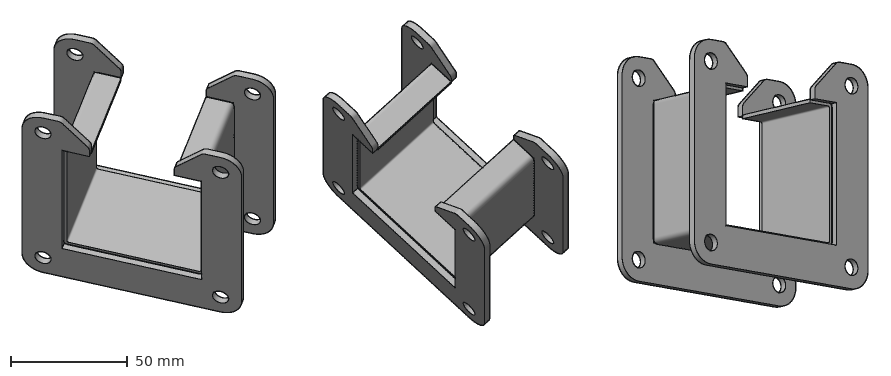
import cadquery as cq

FRAME_SIZE = 98.4
LENGTH = 50.6
SLOT_WIDTH = 38.0

FLANGE_THICKNESS = 3.15
FLANGE_CORNER_RADIUS = 9.4
WINDOW_SIZE = 62.5
BEVEL_DROP = 12.9
BEVEL_CORNER_RADIUS = 3.0
HOLE_DIAMETER = 7.2
HOLE_SPACING = 79.5
SELECTION_MARGIN = 1.0

CHANNEL_SIZE = 63.3
WALL = 1.7
CHANNEL_CORNER_RADIUS = 2.5
CHANNEL_LENGTH = LENGTH - 2 * FLANGE_THICKNESS


def square_bar(size, length):
    """Square bar centred on the origin, running along Y."""
    return cq.Workplane("XY").box(size, length, size)


def slot_cutter(length):
    """Block that opens the upper half of the section to the width of the slot."""
    return cq.Workplane("XY").box(SLOT_WIDTH, length, FRAME_SIZE / 2, centered=(True, True, False))


def bevel_cutter():
    """Wedge-shaped mouth that widens the slot at 45 degrees towards the top edge."""
    top = FRAME_SIZE / 2
    half_slot = SLOT_WIDTH / 2
    half_mouth = half_slot + BEVEL_DROP
    return (
        cq.Workplane("XZ", origin=(0, FLANGE_THICKNESS / 2, 0))
        .polyline([
            (-half_mouth, top),
            (-half_slot, top - BEVEL_DROP),
            (half_slot, top - BEVEL_DROP),
            (half_mouth, top),
        ])
        .close()
        .extrude(FLANGE_THICKNESS)
    )


def bolt_holes():
    """Four through-hole cutters on a square pattern."""
    return (
        cq.Workplane("XZ", origin=(0, FLANGE_THICKNESS / 2, 0))
        .rect(HOLE_SPACING, HOLE_SPACING, forConstruction=True)
        .vertices()
        .circle(HOLE_DIAMETER / 2)
        .extrude(FLANGE_THICKNESS)
    )


def make_flange(y_center):
    """Slotted square flange, centred at the given Y."""
    flange = (
        square_bar(FRAME_SIZE, FLANGE_THICKNESS)
        .edges("|Y")
        .fillet(FLANGE_CORNER_RADIUS)
        .cut(square_bar(WINDOW_SIZE, FLANGE_THICKNESS))
        .cut(slot_cutter(FLANGE_THICKNESS))
        .cut(bevel_cutter())
    )
    half_mouth = SLOT_WIDTH / 2 + BEVEL_DROP
    bevel_edges = cq.selectors.BoxSelector(
        (-half_mouth - SELECTION_MARGIN, -FLANGE_THICKNESS, FRAME_SIZE / 2 - BEVEL_DROP - SELECTION_MARGIN),
        (half_mouth + SELECTION_MARGIN, FLANGE_THICKNESS, FRAME_SIZE / 2 + SELECTION_MARGIN),
    )
    flange = flange.edges("|Y").edges(bevel_edges).fillet(BEVEL_CORNER_RADIUS)
    return flange.cut(bolt_holes()).translate((0, y_center, 0))


def make_channel():
    """Thin-walled square channel with rounded corners, slotted along its top."""
    outside = square_bar(CHANNEL_SIZE, CHANNEL_LENGTH).edges("|Y").fillet(CHANNEL_CORNER_RADIUS)
    inside = (
        square_bar(CHANNEL_SIZE - 2 * WALL, CHANNEL_LENGTH)
        .edges("|Y")
        .fillet(CHANNEL_CORNER_RADIUS - WALL)
    )
    return outside.cut(inside).cut(slot_cutter(CHANNEL_LENGTH))


channel = make_channel()

flange_offset = (CHANNEL_LENGTH + FLANGE_THICKNESS) / 2
flanges = [make_flange(side * flange_offset) for side in (-1, 1)]

result = cq.Compound.makeCompound([channel.val(), *[flange.val() for flange in flanges]])